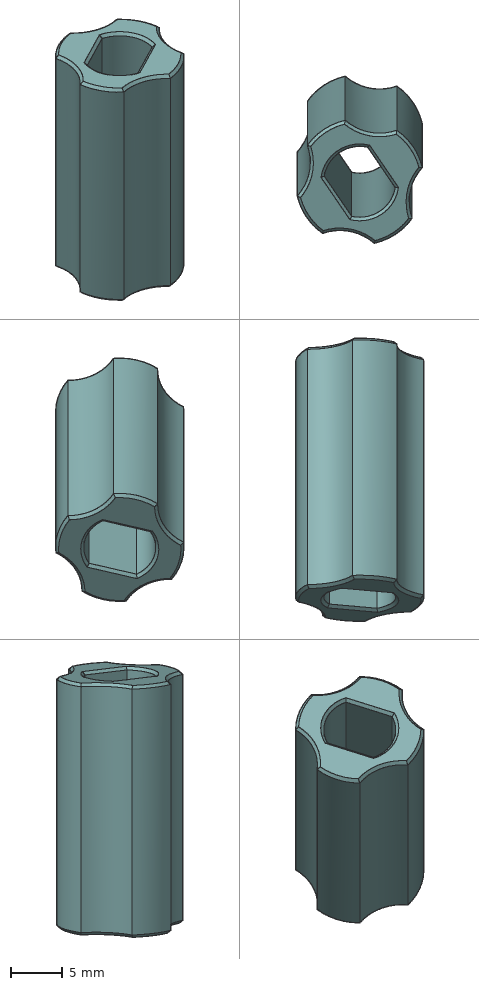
import cadquery as cq

length = 25.0
outer_radius = 6.25
scallop_radius = 5.0
scallop_center_distance = 10.0
scallop_count = 4
bore_radius = 3.5
bore_flat_width = 5.1
edge_chamfer = 0.3

first_scallop_angle = 180 / scallop_count


def make_body():
    """Round bar along Z with a full-length scallop on each diagonal."""
    body = cq.Workplane("XY").circle(outer_radius).extrude(length)
    scallops = (
        cq.Workplane("XY")
        .polarArray(scallop_center_distance, first_scallop_angle, 360, scallop_count)
        .circle(scallop_radius)
        .extrude(length)
    )
    return body.cut(scallops)


def make_bore():
    """Through bore with two flats facing along X."""
    flats = cq.Workplane("XY").rect(bore_flat_width, 2 * bore_radius).extrude(length)
    return cq.Workplane("XY").circle(bore_radius).extrude(length).intersect(flats)


sleeve = make_body().cut(make_bore())
result = sleeve.faces("<Z or >Z").chamfer(edge_chamfer)